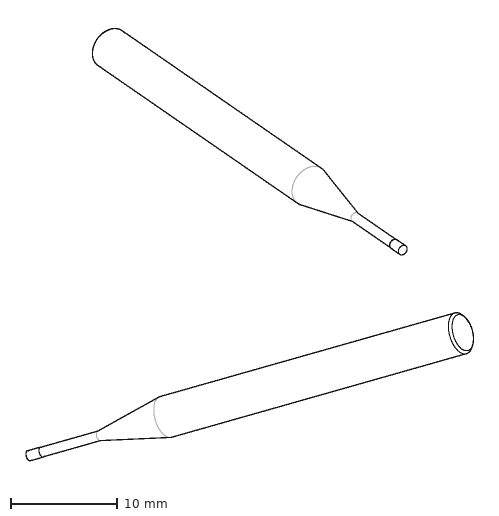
import cadquery as cq

overall_length = 50.0
shank_diameter = 4.0
tip_diameter = 1.0
neck_diameter = 0.95

tip_length = 1.5
neck_reach = 8.1
taper_reach = 15.8

chamfer = 0.25

shank_radius = shank_diameter / 2
tip_radius = tip_diameter / 2
neck_radius = neck_diameter / 2

back_x = -overall_length / 2
front_x = overall_length / 2
taper_start_x = front_x - taper_reach
neck_start_x = front_x - neck_reach
tip_start_x = front_x - tip_length


def turned_blank():
    """Revolve the stepped half-profile about the X axis."""
    profile = (
        cq.Workplane("XY")
        .moveTo(back_x, 0)
        .lineTo(back_x, shank_radius)
        .lineTo(taper_start_x, shank_radius)
        .lineTo(neck_start_x, neck_radius)
        .lineTo(tip_start_x, neck_radius)
        .lineTo(tip_start_x, tip_radius)
        .lineTo(front_x, tip_radius)
        .lineTo(front_x, 0)
        .close()
    )
    return profile.revolve(360, (0, 0, 0), (1, 0, 0))


def chamfer_back_end(body):
    """Break the rim of the flat back face of the shank."""
    return body.faces("<X").edges().chamfer(chamfer)


result = chamfer_back_end(turned_blank())